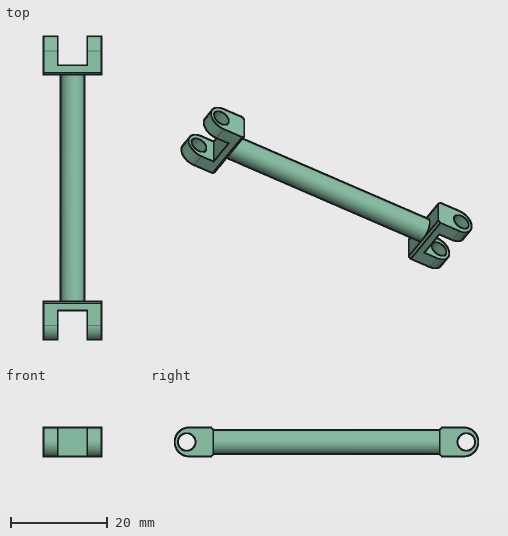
import cadquery as cq

length = 62.75
fork_width = 12.0
fork_height = 6.0
fork_length = 8.05
slot_width = 6.0
slot_depth = 6.0
hole_diameter = 3.6
hole_from_tip = 2.5
rod_diameter = 5.0
chamfer = 0.5

half_length = length / 2
half_height = fork_height / 2
shoulder_y = half_length - fork_length
round_start_y = half_length - half_height


def make_fork():
    """Clevis at the +Y end: rounded tips, chamfered shoulder, open slot and pin hole."""
    body = (
        cq.Workplane("YZ")
        .moveTo(shoulder_y, chamfer - half_height)
        .lineTo(shoulder_y + chamfer, -half_height)
        .lineTo(round_start_y, -half_height)
        .threePointArc((half_length, 0), (round_start_y, half_height))
        .lineTo(shoulder_y + chamfer, half_height)
        .lineTo(shoulder_y, half_height - chamfer)
        .close()
        .extrude(fork_width / 2, both=True)
    )
    slot = cq.Workplane("XY").box(slot_width, slot_depth, fork_height).translate(
        (0, half_length - slot_depth / 2, 0)
    )
    hole = (
        cq.Workplane("YZ")
        .center(half_length - hole_from_tip, 0)
        .circle(hole_diameter / 2)
        .extrude(fork_width, both=True)
    )
    return body.cut(slot).cut(hole)


rod = cq.Workplane("XZ").circle(rod_diameter / 2).extrude(shoulder_y, both=True)

fork = make_fork()
result = rod.union(fork).union(fork.mirror("XZ"))